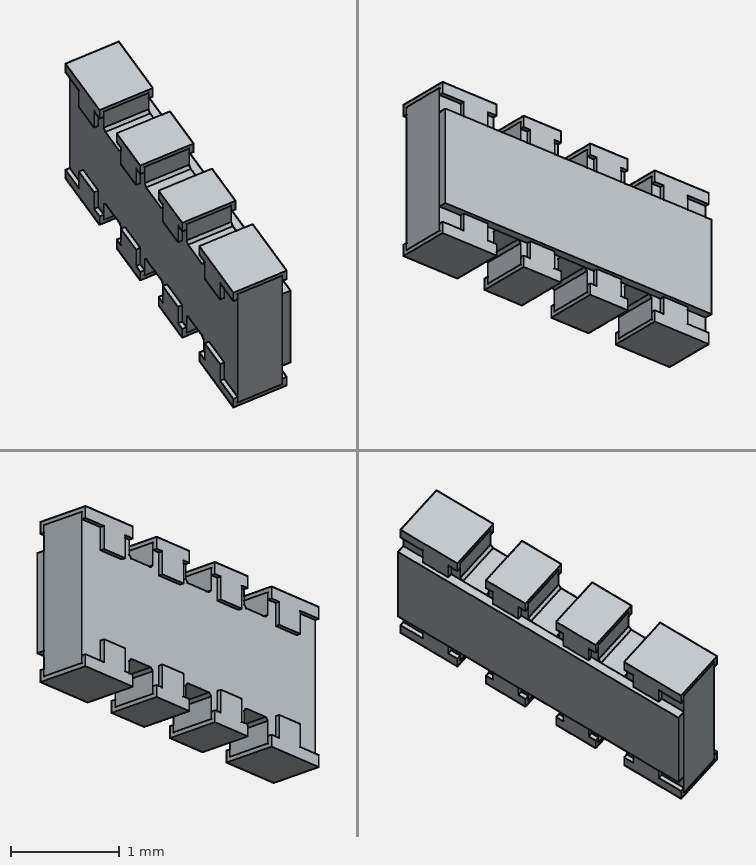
import cadquery as cq


length = 3.2
depth = 0.6
height = 1.6

plating = 0.045
cover_thickness = 0.085
cover_height = 1.0

pitch = 0.8
inner_width = 0.45
corner_width = 0.65
lip_height = 0.12
tongue_width = 0.29
front_tongue_reach = 0.35

notch_chamfer = 0.03

front_y = -depth / 2
substrate_front_y = front_y + plating
cover_back_y = depth / 2
substrate_back_y = cover_back_y - cover_thickness
terminal_back_y = substrate_back_y + plating
substrate_top_z = height / 2 - plating
cover_top_z = cover_height / 2
notch_floor_z = cover_top_z
terminal_top_z = height / 2
lip_bottom_z = terminal_top_z - lip_height
front_tongue_end_z = terminal_top_z - front_tongue_reach
back_tongue_end_z = cover_top_z

half_length = length / 2
inner_x = pitch / 2
outer_x = inner_x + pitch
terminal_spans = [
    (-half_length, corner_width - half_length, -outer_x),
    (-inner_x - inner_width / 2, -inner_x + inner_width / 2, -inner_x),
    (inner_x - inner_width / 2, inner_x + inner_width / 2, inner_x),
    (half_length - corner_width, half_length, outer_x),
]


def block(x_range, y_range, z_range):
    """Box filling the given (low, high) ranges."""
    corner = (x_range[0], y_range[0], z_range[0])
    size = [high - low for low, high in (x_range, y_range, z_range)]
    return cq.Workplane("XY").box(*size, centered=False).translate(corner)


def turned_over(body):
    """Copy of an upper-edge body mirrored onto the lower edge."""
    return body.mirror("XY")


def make_notch(left, right):
    """Cutter for one gap between neighbouring terminals on the upper edge."""
    notch = block(
        (left, right),
        (substrate_front_y, substrate_back_y),
        (notch_floor_z, substrate_top_z),
    )
    return notch.edges("|Y and <Z").chamfer(notch_chamfer)


def make_substrate():
    """Ceramic plate with three notches in each long edge."""
    body = block(
        (-half_length, half_length),
        (substrate_front_y, substrate_back_y),
        (-substrate_top_z, substrate_top_z),
    )
    for span, next_span in zip(terminal_spans, terminal_spans[1:]):
        notch = make_notch(span[1], next_span[0])
        body = body.cut(notch).cut(turned_over(notch))
    return body


def make_cover():
    """Protective layer on the back face, between the two terminal rows."""
    return block(
        (-half_length, half_length),
        (substrate_back_y, cover_back_y),
        (-cover_top_z, cover_top_z),
    )


def make_terminal(left, right, tongue_x):
    """Upper terminal: cap over the edge, a lip on each face and a narrower tongue below each lip."""
    front_layer = (front_y, substrate_front_y)
    back_layer = (substrate_back_y, terminal_back_y)
    tongue_span = (tongue_x - tongue_width / 2, tongue_x + tongue_width / 2)

    body = block((left, right), (front_y, terminal_back_y), (substrate_top_z, terminal_top_z))
    for layer, tongue_end_z in ((front_layer, front_tongue_end_z), (back_layer, back_tongue_end_z)):
        lip = block((left, right), layer, (lip_bottom_z, terminal_top_z))
        tongue = block(tongue_span, layer, (tongue_end_z, terminal_top_z))
        body = body.union(lip).union(tongue)
    return body.clean()


substrate = make_substrate()
cover = make_cover()
terminals = []
for span in terminal_spans:
    upper_terminal = make_terminal(*span)
    terminals += [upper_terminal, turned_over(upper_terminal)]

result = cq.Compound.makeCompound(
    [substrate.val(), cover.val(), *[terminal.val() for terminal in terminals]]
)